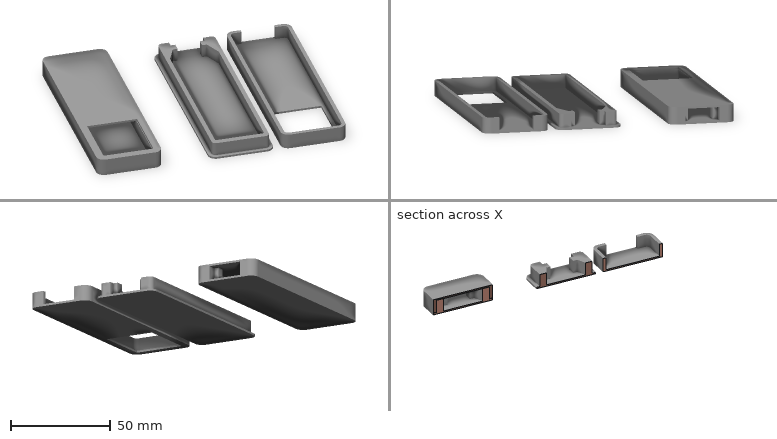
import cadquery as cq

CASE_LENGTH = 106.0
CASE_WIDTH = 34.0
CORNER_RADIUS = 4.0
PLATE_THICKNESS = 1.0
COVER_HEIGHT = 8.0
COVER_WALL = 2.0

NOTCH_WIDTH = 17.8

WINDOW_LENGTH = 30.3
WINDOW_WIDTH = 26.1
WINDOW_MARGIN = 3.9

CAVITY_WIDTH = 25.6
CAVITY_END_WALL = 3.0
POST_GAP = 12.8
POST_SETBACK = 2.9
POST_LENGTH = 4.2
TAPER_LENGTH = 8.5

COVER_Y = 38.0
CLOSED_CASE_Y = -58.6

RIM_LENGTH = CASE_LENGTH - 2 * COVER_WALL
RIM_WIDTH = CASE_WIDTH - 2 * COVER_WALL
RIM_RADIUS = CORNER_RADIUS - COVER_WALL
RIM_HEIGHT = COVER_HEIGHT - PLATE_THICKNESS


def rounded_block(length, width, height, radius):
    """Block centred on the Z axis, standing on Z = 0, with rounded vertical corners."""
    block = cq.Workplane("XY").box(length, width, height, centered=(True, True, False))
    return block.edges("|Z").fillet(radius)


def rim_block():
    """Space inside the cover, above a floor; the rim of the base fills the same outline."""
    block = rounded_block(RIM_LENGTH, RIM_WIDTH, RIM_HEIGHT, RIM_RADIUS)
    return block.translate((0, 0, PLATE_THICKNESS))


def make_cover():
    """Open tray, floor down, with a display window and a connector notch."""
    shell = rounded_block(CASE_LENGTH, CASE_WIDTH, COVER_HEIGHT, CORNER_RADIUS).cut(rim_block())

    window_x = CASE_LENGTH / 2 - WINDOW_MARGIN - WINDOW_LENGTH / 2
    window = cq.Workplane("XY").center(window_x, 0).rect(WINDOW_LENGTH, WINDOW_WIDTH)
    window = window.extrude(PLATE_THICKNESS)

    notch_x = -CASE_LENGTH / 2 + COVER_WALL / 2
    notch = cq.Workplane("XY", origin=(notch_x, 0, PLATE_THICKNESS)).rect(COVER_WALL, NOTCH_WIDTH)
    notch = notch.extrude(RIM_HEIGHT)
    return shell.cut(window).cut(notch)


def make_cavity():
    """Space inside the base: connector mouth, gap between the posts, taper and long pocket."""
    mouth_x = -RIM_LENGTH / 2
    post_start_x = mouth_x + POST_SETBACK
    post_end_x = post_start_x + POST_LENGTH
    pocket_x = post_end_x + TAPER_LENGTH
    end_x = RIM_LENGTH / 2 - CAVITY_END_WALL

    half_outline = [
        (mouth_x, NOTCH_WIDTH / 2),
        (post_start_x, NOTCH_WIDTH / 2),
        (post_start_x, POST_GAP / 2),
        (post_end_x, POST_GAP / 2),
        (post_end_x, NOTCH_WIDTH / 2),
        (pocket_x, CAVITY_WIDTH / 2),
        (end_x, CAVITY_WIDTH / 2),
    ]
    mirrored_half = [(x, -y) for x, y in reversed(half_outline)]
    profile = cq.Workplane("XY", origin=(0, 0, PLATE_THICKNESS)).polyline(half_outline + mirrored_half)
    return profile.close().extrude(RIM_HEIGHT)


def make_base():
    """Flat plate with a raised rim that plugs into the cover."""
    plate = rounded_block(CASE_LENGTH, CASE_WIDTH, PLATE_THICKNESS, CORNER_RADIUS)
    rim = rim_block().cut(make_cavity())
    return plate.union(rim)


def turn_over(cover):
    """Cover turned about X so that its floor is on top and its walls stand on the base plate."""
    turned = cover.rotate((0, 0, 0), (1, 0, 0), 180)
    return turned.translate((0, 0, COVER_HEIGHT + PLATE_THICKNESS))


open_cover = make_cover().translate((0, COVER_Y, 0))
open_base = make_base()

closed_cover = turn_over(make_cover()).translate((0, CLOSED_CASE_Y, 0))
closed_base = make_base().translate((0, CLOSED_CASE_Y, 0))

result = cq.Compound.makeCompound(
    [
        open_cover.val(),
        open_base.val(),
        closed_cover.val(),
        closed_base.val(),
    ]
)